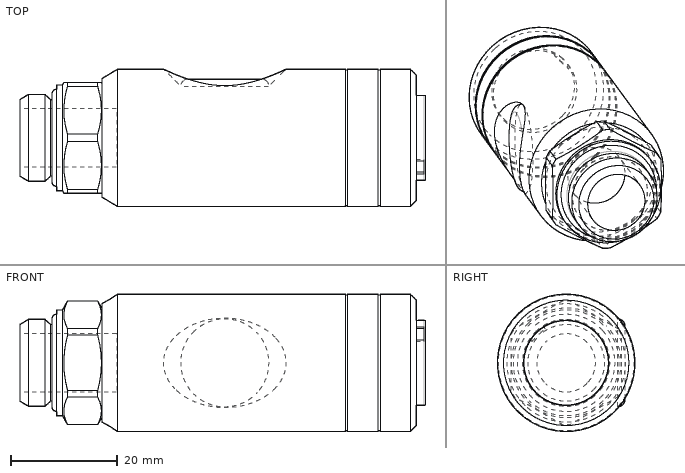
import cadquery as cq
import math

length = 76.6
body_dia = 26.0
body_radius = body_dia / 2

thread_radius = 16.5 / 2
spigot_end_radius = 14.5 / 2
spigot_lead = 1.7
thread_end = 4.75
relief_start = 5.8

ring_start = 6.05
ring_radius = 18.4 / 2
collar_start = 7.0
ring_round = collar_start - ring_start
collar_radius = 20.0 / 2

hex_start = 8.05
hex_end = 15.5
hex_across_flats = 20.9
hex_corner_radius = 23.4 / 2
hex_chamfer_angle = 30.0
hex_back_chamfer = 0.8

body_front_radius = 22.4 / 2
body_cone_end = 18.45
body_end = 74.8
body_chamfer = 1.15
groove_width = 0.4
groove_depth = 0.15
groove_starts = (61.4, 67.6)

scoop_center_x = 38.7
scoop_rim_radius = 11.6
button_radius = 16.6 / 2
button_top_y = 11.1
button_round = 1.4

boss_radius = 16.1 / 2
rim_width = 0.3
rim_taper = 0.1
notch_width = 3.45
notch_depth = 0.6
notch_angle = 45.0

bore_dia = 11.0
bore_depth = 18.4


def make_cylinder(start, end, radius):
    """Cylinder about the X axis between two X positions."""
    return cq.Workplane("YZ").workplane(offset=start).circle(radius).extrude(end - start)


def revolve_profile(outline):
    """Revolve a closed half-profile about the X axis."""
    return outline.close().revolve(360, (0, 0, 0), (1, 0, 0))


def make_spigot():
    """Chamfered thread, relief, rounded sealing ring and collar."""
    outline = (
        cq.Workplane("XY")
        .lineTo(0, spigot_end_radius)
        .lineTo(spigot_lead, thread_radius)
        .lineTo(thread_end, thread_radius)
        .lineTo(relief_start, spigot_end_radius)
        .lineTo(ring_start, spigot_end_radius)
        .lineTo(ring_start, ring_radius - ring_round)
        .radiusArc((collar_start, ring_radius), ring_round)
        .lineTo(collar_start, collar_radius)
        .lineTo(hex_start, collar_radius)
        .lineTo(hex_start, 0)
    )
    return revolve_profile(outline)


def make_hexagon():
    """Hexagon with two flats facing +Y and -Y, turned at its corners and both ends."""
    across_corners = hex_across_flats / math.cos(math.pi / 6)
    prism = (
        cq.Workplane("YZ")
        .workplane(offset=hex_start)
        .transformed(rotate=(0, 0, 90))
        .polygon(6, across_corners)
        .extrude(hex_end - hex_start)
    )
    slope = math.tan(math.radians(hex_chamfer_angle))
    front_chamfer = (hex_corner_radius - collar_radius) * slope
    outline = (
        cq.Workplane("XY")
        .moveTo(hex_start, 0)
        .lineTo(hex_start, collar_radius)
        .lineTo(hex_start + front_chamfer, hex_corner_radius)
        .lineTo(hex_end - hex_back_chamfer, hex_corner_radius)
        .lineTo(hex_end, hex_corner_radius - hex_back_chamfer / slope)
        .lineTo(hex_end, 0)
    )
    return prism.intersect(revolve_profile(outline))


def make_body():
    """Sleeve with a conical front, a chamfered rear and narrow grooves."""
    outline = (
        cq.Workplane("XY")
        .moveTo(hex_end, 0)
        .lineTo(hex_end, body_front_radius)
        .lineTo(body_cone_end, body_radius)
        .lineTo(body_end - body_chamfer, body_radius)
        .lineTo(body_end, body_radius - body_chamfer)
        .lineTo(body_end, 0)
    )
    body = revolve_profile(outline)
    for start in groove_starts:
        end = start + groove_width
        groove = make_cylinder(start, end, body_radius + 0.8)
        body = body.cut(groove.cut(make_cylinder(start, end, body_radius - groove_depth)))
    return body


def make_scoop():
    """Countersink of 90 degrees about the Y axis, with its rim at the outermost line of the body."""
    overshoot = 0.8
    cone_height = scoop_rim_radius + overshoot
    apex_y = body_radius - scoop_rim_radius
    apex = cq.Vector(scoop_center_x, apex_y, 0)
    return cq.Workplane(cq.Solid.makeCone(0, cone_height, cone_height, apex, cq.Vector(0, 1, 0)))


def make_button():
    """Round button with a flat top and rounded edge, rising along +Y from inside the body."""
    button = cq.Workplane("XZ").center(scoop_center_x, 0).circle(button_radius).extrude(-button_top_y)
    return button.faces(">Y").edges().fillet(button_round)


def make_boss():
    """End boss with a tapered rim, notched up to the rim, between -Y and +Z."""
    rim_start = length - rim_width
    outline = (
        cq.Workplane("XY")
        .moveTo(body_end, 0)
        .lineTo(body_end, boss_radius)
        .lineTo(rim_start, boss_radius)
        .lineTo(length, boss_radius - rim_taper)
        .lineTo(length, 0)
    )
    boss = revolve_profile(outline)
    notch_length = rim_start - body_end
    notch = (
        cq.Workplane("XY")
        .box(notch_length, notch_width, 2 * notch_depth)
        .translate((body_end + notch_length / 2, 0, boss_radius))
        .rotate((0, 0, 0), (1, 0, 0), notch_angle)
    )
    return boss.cut(notch)


result = (
    make_spigot()
    .union(make_hexagon())
    .union(make_body())
    .cut(make_scoop())
    .union(make_button())
    .union(make_boss())
    .cut(make_cylinder(0, bore_depth, bore_dia / 2))
)